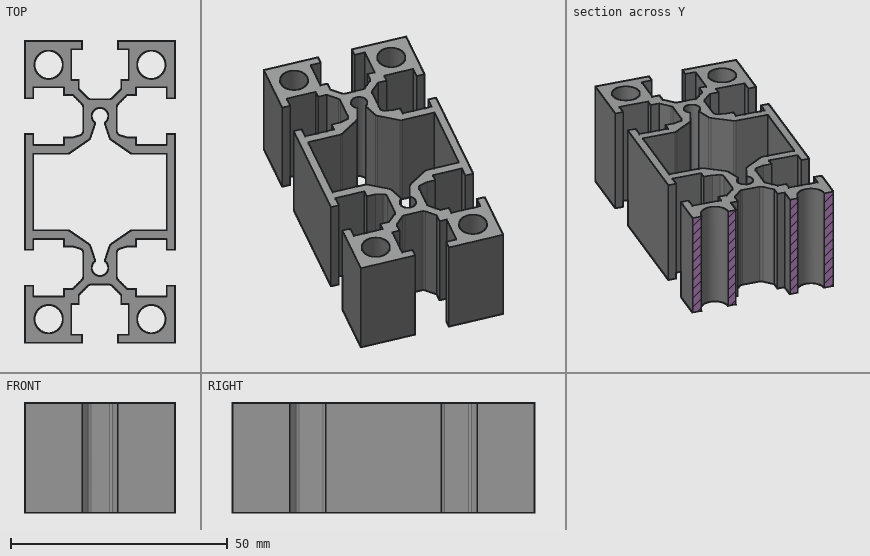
import cadquery as cq

width = 34.75
length = 69.75
height = 25.4
cell_half = width / 2
cell_centre_y = length / 2 - cell_half

lip_thickness = 1.95
mouth_half = 4.1
chamber_half = 6.6
chamber_depth = 9.0
throat_half = 4.9
throat_depth = 11.1
floor_depth = 13.45
floor_half = 2.5
floor_half_inboard = 4.2

side_wall = lip_thickness
cavity_half_length = 8.8
cavity_half_width = cell_half - side_wall
slope_start_x = 7.25
neck_outer_x = 2.3
neck_outer_offset = 5.3
core_radius = 1.9
neck_half = 1.05

corner_radius = 1.0

corner_hole_diameter = 6.5
corner_hole_inset = 5.5


def prism(points):
    return cq.Workplane("XY").polyline(points).close().extrude(height)


def round_corners(solid, corners):
    """Fillet the edges parallel to Z that stand at the given (x, y) corners."""
    for x, y in corners:
        nearest = cq.selectors.NearestToPointSelector((x, y, height / 2))
        solid = solid.edges("|Z").edges(nearest).fillet(corner_radius)
    return solid


def slot_flank(floor_half_width):
    """One flank of a T-slot, from the outer face to the floor, as (offset, depth) pairs."""
    return [
        (mouth_half, 0),
        (mouth_half, lip_thickness),
        (chamber_half, lip_thickness),
        (chamber_half, chamber_depth),
        (throat_half, chamber_depth),
        (throat_half, throat_depth),
        (floor_half_width, floor_depth),
    ]


def slot_cutter(left_floor_half, right_floor_half):
    """T-slot running along Z, with its mouth centred on the origin and its depth along -Y."""
    left = [(-offset, -depth) for offset, depth in slot_flank(left_floor_half)]
    right = [(offset, -depth) for offset, depth in slot_flank(right_floor_half)]
    floor_corners = [left[-1], right[-1]]
    return round_corners(prism(left + right[::-1]), floor_corners)


def end_slot():
    """T-slot in the +Y face."""
    return slot_cutter(floor_half, floor_half).translate((0, length / 2, 0))


def side_slot():
    """T-slot in the +X face of the +Y cell, with its wider floor half inboard."""
    cutter = slot_cutter(floor_half, floor_half_inboard)
    return cutter.rotate((0, 0, 0), (0, 0, 1), -90).translate((cell_half, cell_centre_y, 0))


def core_bore():
    return cq.Workplane("XY").center(0, cell_centre_y).circle(core_radius).extrude(height)


def central_cavity():
    """Rectangular cavity with a tapering neck at each end, running into the core bores."""
    neck_tip_y = cell_centre_y - (core_radius**2 - neck_half**2) ** 0.5
    quarter = [
        (cavity_half_width, cavity_half_length),
        (slope_start_x, cavity_half_length),
        (neck_outer_x, cell_centre_y - neck_outer_offset),
        (neck_half, neck_tip_y),
    ]
    upper = quarter + [(-x, y) for x, y in quarter[::-1]]
    lower = [(-x, -y) for x, y in upper]
    slope_ends = [(i * x, j * y) for x, y in quarter[1:3] for i in (1, -1) for j in (1, -1)]
    return round_corners(prism(upper + lower), slope_ends)


profile = cq.Workplane("XY").rect(width, length).extrude(height).cut(central_cavity())

upper_cuts = [end_slot(), core_bore(), side_slot(), side_slot().mirror("YZ")]
for cutter in upper_cuts:
    profile = profile.cut(cutter).cut(cutter.mirror("XZ"))

result = (
    profile.faces(">Z")
    .workplane(origin=(0, 0, height))
    .rect(width - 2 * corner_hole_inset, length - 2 * corner_hole_inset, forConstruction=True)
    .vertices()
    .hole(corner_hole_diameter)
)